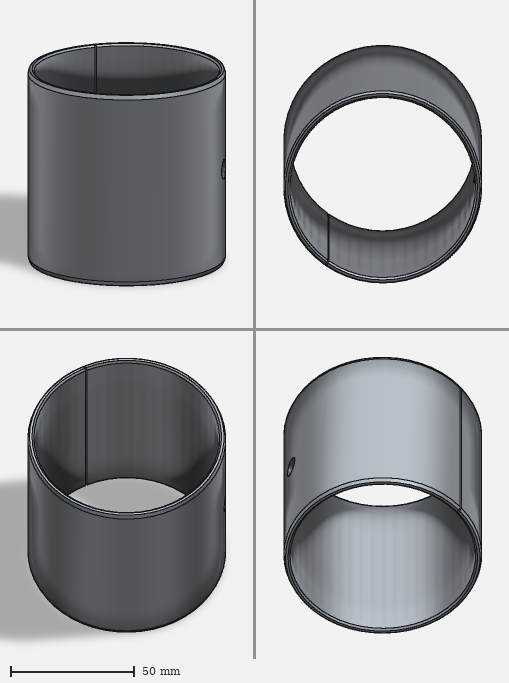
import cadquery as cq
import math

outer_diameter = 80.0
wall_thickness = 2.5
length = 80.0

outer_chamfer_length = 1.8
outer_chamfer_angle = 20.0
inner_chamfer = 0.8

seam_end_angle = 180.0
seam_gap_angle = 1.0

oil_hole_diameter = 8.0
angle_from_seam_to_oil_hole = 120.0

seam_start_angle = seam_end_angle - seam_gap_angle
oil_hole_angle = seam_start_angle - angle_from_seam_to_oil_hole

outer_radius = outer_diameter / 2
inner_radius = outer_radius - wall_thickness
half_length = length / 2
outer_chamfer_depth = outer_chamfer_length * math.tan(math.radians(outer_chamfer_angle))


def make_sleeve():
    """Revolve the chamfered wall section from one side of the seam round to the other."""
    chamfered_outer_radius = outer_radius - outer_chamfer_depth
    chamfered_inner_radius = inner_radius + inner_chamfer
    outer_chamfer_z = half_length - outer_chamfer_length
    inner_chamfer_z = half_length - inner_chamfer
    section = [
        (inner_radius, -inner_chamfer_z),
        (chamfered_inner_radius, -half_length),
        (chamfered_outer_radius, -half_length),
        (outer_radius, -outer_chamfer_z),
        (outer_radius, outer_chamfer_z),
        (chamfered_outer_radius, half_length),
        (chamfered_inner_radius, half_length),
        (inner_radius, inner_chamfer_z),
    ]
    sleeve = cq.Workplane("XZ").polyline(section).close().revolve(
        360 - seam_gap_angle, (0, 0), (0, 1)
    )
    return sleeve.rotate((0, 0, 0), (0, 0, 1), seam_end_angle)


def make_oil_hole_cutter():
    """Radial cylinder reaching from the axis out through one wall."""
    cutter = cq.Workplane("YZ").circle(oil_hole_diameter / 2).extrude(outer_diameter)
    return cutter.rotate((0, 0, 0), (0, 0, 1), oil_hole_angle)


result = make_sleeve().cut(make_oil_hole_cutter())